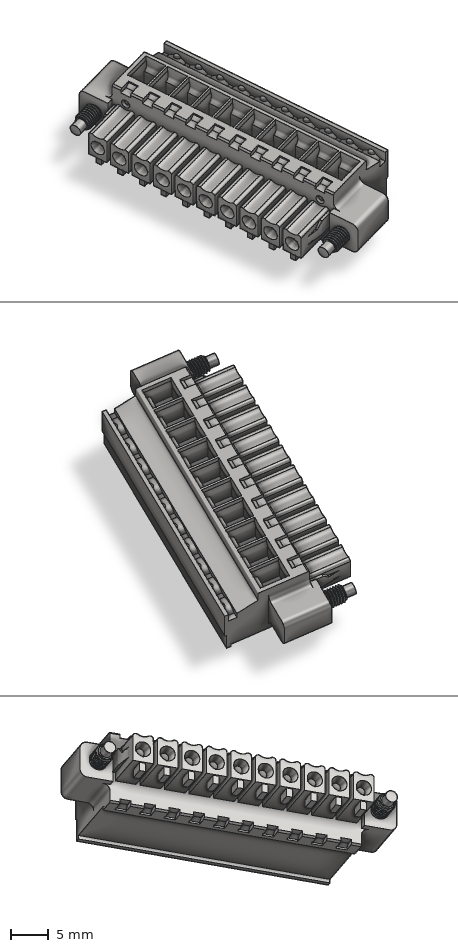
import cadquery as cq
import math

POLES = 10
PITCH = 3.5
POLE_X = [(i - (POLES - 1) / 2) * PITCH for i in range(POLES)]
AXIS_Z = 5.2

HEIGHT = 10.5
HOUSING_HALF = 17.95
BACK_Y = 12.7
BACK_WALL = 0.6
BACK_WALL_TOP = 8.35
GROOVE_FRONT_Y = 10.85
GROOVE_FLOOR_Z = 6.7
SLOPE_LOW_Z = 7.7
SLOPE_HIGH_Z = 8.75
STEP_Y = 7.7
EDGE_BREAK = 0.25
BACK_STEP_HIGH_Z = 3.4
BACK_STEP_LOW_Z = 3.15
LOWER_BACK_Y = 12.4
REAR_FOOT = 0.7
FRONT_FOOT = 2.57
FOOT_HEIGHT = 0.53

PAD_RADIUS = 2.05
BUMP_RADIUS = 0.55
BUMP_Z = 7.1

WINDOW_WIDTH = 3.2
WINDOW_FRONT_Y = 2.72
WINDOW_BACK_Y = 7.05
WINDOW_WALL = 0.85
BOWL_RADIUS = 1.0
FUNNEL_WIDTH = 2.4
FUNNEL_DEPTH = 1.65
FUNNEL_MOUTH_FRONT_Y = 2.75
FLOOR_WIDTH = 1.75
FUNNEL_FLOOR_FRONT_Y = 2.95
FUNNEL_FLOOR_BACK_Y = 5.6

SLOT_WIDTH = 1.55
SLOT_LENGTH = 1.83
SLOT_FLOOR_LENGTH = 1.2
SLOT_DEPTH = 0.7
SLOT_RISE = 0.45

BALL_Z = 8.15
BALL_HOLE_RADIUS = 0.65
BALL_RADIUS = 0.6
BALL_RECESS = 0.2

PLUG_LENGTH = 6.5
PLUG_WIDTH = 2.94
PLUG_BOTTOM_Z = 3.28
PLUG_TOP_Z = 7.37
SHOULDER_DROP = 0.29
FLUTE_WIDTH = 1.76
FLUTE_DEPTH = 0.28
SOCKET_RADIUS = 1.08
SOCKET_FLOOR_RADIUS = 0.6
SOCKET_DEPTH = 1.2
KEY_WIDTH = 0.85
KEY_BOTTOM_Z = 2.05
KEY_FRONT_Y = -6.27
KEY_BACK_Y = -4.05

WEDGE_THICKNESS = 0.41
WEDGE_LENGTH = 4.8
WEDGE_TAPER_Y = -2.2
WEDGE_DROP_Y = -3.1
WEDGE_TOP_Z = 7.03
WEDGE_LOW_Z = 6.04
WEDGE_BOTTOM_Z = 4.5

FLANGE_HALF = 22.6
FLANGE_FRONT_Y = -0.97
FLANGE_BACK_Y = 6.1
FLANGE_HALF_HEIGHT = 2.6
FLANGE_ROUND = 1.0
GUSSET = 1.0

SCREW_X = 20.1
SCREW_CORE_RADIUS = 1.05
THREAD_RADIUS = 1.27
THREAD_PITCH = 0.41
THREAD_RIDGE_WIDTH = 0.34
THREAD_OVERLAP = 0.05
THREAD_END_Y = -3.98
TIP_RADIUS = 0.84
TIP_END_Y = -5.47


def box(x0, x1, y0, y1, z0, z1):
    return cq.Workplane("XY").box(x1 - x0, y1 - y0, z1 - z0, centered=False).translate((x0, y0, z0))


def pole_box(x, width, y0, y1, z0, z1):
    return box(x - width / 2, x + width / 2, y0, y1, z0, z1)


def yz_prism(points, x, width):
    """Extrude a closed (Y, Z) outline over a width centred on x."""
    return cq.Workplane("YZ").polyline(points).close().extrude(width / 2, both=True).translate((x, 0, 0))


def rod(x, z, radius, y0, y1):
    """Cylinder along Y."""
    return cq.Workplane("XZ").center(x, z).circle(radius).extrude(y0 - y1).translate((0, y0, 0))


def make_housing():
    outline = [
        (0, 0),
        (FRONT_FOOT, 0),
        (FRONT_FOOT, FOOT_HEIGHT),
        (LOWER_BACK_Y - REAR_FOOT, FOOT_HEIGHT),
        (LOWER_BACK_Y - REAR_FOOT, 0),
        (LOWER_BACK_Y, 0),
        (LOWER_BACK_Y, BACK_STEP_LOW_Z),
        (BACK_Y, BACK_STEP_HIGH_Z),
        (BACK_Y, BACK_WALL_TOP),
        (BACK_Y - BACK_WALL, BACK_WALL_TOP),
        (BACK_Y - BACK_WALL, GROOVE_FLOOR_Z),
        (GROOVE_FRONT_Y, GROOVE_FLOOR_Z),
        (GROOVE_FRONT_Y, SLOPE_LOW_Z),
        (STEP_Y, SLOPE_HIGH_Z),
        (STEP_Y, HEIGHT),
        (0, HEIGHT),
    ]
    housing = yz_prism(outline, 0, 2 * HOUSING_HALF)
    housing = housing.faces(">Z").edges(">Y").fillet(EDGE_BREAK)
    return housing.faces("<Y").edges("|X").chamfer(EDGE_BREAK)


def tapered_pocket(x, top_z, depth, top_width, top_y, bottom_width, bottom_y):
    """Pocket narrowing downwards; top_y and bottom_y are its (front, back) limits."""
    top_mid = sum(top_y) / 2
    bottom_mid = sum(bottom_y) / 2
    return (
        cq.Workplane("XY", origin=(x, top_mid, top_z))
        .rect(top_width, top_y[1] - top_y[0])
        .workplane(offset=-depth)
        .center(0, bottom_mid - top_mid)
        .rect(bottom_width, bottom_y[1] - bottom_y[0])
        .loft(combine=True)
    )


def make_window(x):
    """Upright walls, then a bowl with a rounded back, then a funnel to the flat floor."""
    wall_z = HEIGHT - WINDOW_WALL
    bowl_z = wall_z - BOWL_RADIUS
    bowl_y = WINDOW_BACK_Y - BOWL_RADIUS
    window_y = (WINDOW_FRONT_Y, WINDOW_BACK_Y)
    upper = pole_box(x, WINDOW_WIDTH, WINDOW_FRONT_Y, WINDOW_BACK_Y, wall_z, HEIGHT)
    bowl_front = pole_box(x, WINDOW_WIDTH, WINDOW_FRONT_Y, bowl_y, bowl_z, wall_z)
    bowl_back = (
        cq.Workplane("YZ", origin=(x, bowl_y, wall_z))
        .circle(BOWL_RADIUS)
        .extrude(WINDOW_WIDTH / 2, both=True)
    )
    bowl = tapered_pocket(x, wall_z, BOWL_RADIUS, WINDOW_WIDTH, window_y, FUNNEL_WIDTH, window_y)
    bowl = bowl.intersect(bowl_front.union(bowl_back))
    mouth_y = (FUNNEL_MOUTH_FRONT_Y, bowl_y)
    floor_y = (FUNNEL_FLOOR_FRONT_Y, FUNNEL_FLOOR_BACK_Y)
    funnel = tapered_pocket(x, bowl_z, FUNNEL_DEPTH, FUNNEL_WIDTH, mouth_y, FLOOR_WIDTH, floor_y)
    return upper.union(bowl).union(funnel)


def make_top_slot(x):
    floor_z = HEIGHT - SLOT_DEPTH
    outline = [
        (0, floor_z),
        (SLOT_FLOOR_LENGTH, floor_z),
        (SLOT_LENGTH, floor_z + SLOT_RISE),
        (SLOT_LENGTH, HEIGHT),
        (0, HEIGHT),
    ]
    return yz_prism(outline, x, SLOT_WIDTH)


def make_rear_pad(x):
    pad = rod(x, AXIS_Z, PAD_RADIUS, GROOVE_FRONT_Y, BACK_Y - BACK_WALL)
    bump = cq.Workplane("XY").sphere(BUMP_RADIUS).translate((x, BACK_Y - BACK_WALL, BUMP_Z))
    return [pad, bump]


def make_right_ball_hole():
    return rod(POLE_X[-1], BALL_Z, BALL_HOLE_RADIUS, 0, BALL_RECESS + BALL_RADIUS)


def make_right_ball():
    ball_y = BALL_RECESS + BALL_RADIUS
    return cq.Workplane("XY").sphere(BALL_RADIUS).translate((POLE_X[-1], ball_y, BALL_Z))


def make_plug(x):
    half_width = PLUG_WIDTH / 2
    half_flute = FLUTE_WIDTH / 2
    shoulder_z = PLUG_TOP_Z - SHOULDER_DROP
    mid_x = half_flute + (half_width - half_flute) * math.sqrt(0.5)
    mid_z = shoulder_z + SHOULDER_DROP * math.sqrt(0.5)
    plug = (
        cq.Workplane("XZ")
        .moveTo(-half_width, PLUG_BOTTOM_Z)
        .lineTo(half_width, PLUG_BOTTOM_Z)
        .lineTo(half_width, shoulder_z)
        .threePointArc((mid_x, mid_z), (half_flute, PLUG_TOP_Z))
        .threePointArc((0, PLUG_TOP_Z - FLUTE_DEPTH), (-half_flute, PLUG_TOP_Z))
        .threePointArc((-mid_x, mid_z), (-half_width, shoulder_z))
        .close()
        .extrude(PLUG_LENGTH)
        .translate((x, 0, 0))
    )
    socket = cq.Workplane(
        cq.Solid.makeCone(
            SOCKET_RADIUS,
            SOCKET_FLOOR_RADIUS,
            SOCKET_DEPTH,
            pnt=cq.Vector(x, -PLUG_LENGTH, AXIS_Z),
            dir=cq.Vector(0, 1, 0),
        )
    )
    key = pole_box(x, KEY_WIDTH, KEY_FRONT_Y, KEY_BACK_Y, KEY_BOTTOM_Z, PLUG_BOTTOM_Z)
    return plug.cut(socket).union(key)


def make_right_wedge():
    plug_side = POLE_X[-1] + PLUG_WIDTH / 2
    plan = (
        cq.Workplane("XY")
        .moveTo(plug_side, 0)
        .lineTo(plug_side + WEDGE_THICKNESS, 0)
        .lineTo(plug_side + WEDGE_THICKNESS, WEDGE_TAPER_Y)
        .lineTo(plug_side, -WEDGE_LENGTH)
        .close()
        .extrude(HEIGHT)
    )
    profile = [
        (0, WEDGE_BOTTOM_Z),
        (0, WEDGE_TOP_Z),
        (WEDGE_TAPER_Y, WEDGE_TOP_Z),
        (WEDGE_DROP_Y, WEDGE_LOW_Z),
        (-WEDGE_LENGTH, WEDGE_LOW_Z),
        (-WEDGE_LENGTH, WEDGE_BOTTOM_Z),
    ]
    return plan.intersect(yz_prism(profile, plug_side, 2 * WEDGE_THICKNESS))


def make_right_flange():
    top_z = AXIS_Z + FLANGE_HALF_HEIGHT
    bottom_z = AXIS_Z - FLANGE_HALF_HEIGHT
    flange = box(HOUSING_HALF, FLANGE_HALF, FLANGE_FRONT_Y, FLANGE_BACK_Y, bottom_z, top_z)
    flange = flange.edges("|Y and >X").fillet(FLANGE_ROUND)
    gusset = box(
        HOUSING_HALF, HOUSING_HALF + GUSSET, 0, FLANGE_BACK_Y, bottom_z - GUSSET, top_z + GUSSET
    )
    for round_z in (bottom_z - GUSSET, top_z + GUSSET):
        gusset = gusset.cut(rod(HOUSING_HALF + GUSSET, round_z, GUSSET, 0, FLANGE_BACK_Y))
    return flange.union(gusset)


def make_right_screw():
    """Screw pointing along -Y with a helical thread ridge."""
    run_in = THREAD_PITCH
    ridge_half = THREAD_RIDGE_WIDTH / 2
    thread_length = FLANGE_FRONT_Y - THREAD_END_Y
    core_length = thread_length + run_in
    helix_length = core_length - 2 * ridge_half
    base_radius = SCREW_CORE_RADIUS - THREAD_OVERLAP
    core = cq.Workplane("XY").circle(SCREW_CORE_RADIUS).extrude(core_length)
    tip = cq.Workplane("XY").circle(TIP_RADIUS).extrude(FLANGE_FRONT_Y - TIP_END_Y + run_in)
    helix = cq.Workplane(cq.Wire.makeHelix(THREAD_PITCH, helix_length, base_radius))
    ridge = (
        cq.Workplane("XZ")
        .polyline([(base_radius, -ridge_half), (THREAD_RADIUS, 0), (base_radius, ridge_half)])
        .close()
        .sweep(helix, isFrenet=True)
        .translate((0, 0, ridge_half))
    )
    screw = core.union(ridge).union(tip)
    return screw.rotate((0, 0, 0), (1, 0, 0), 90).translate((SCREW_X, FLANGE_FRONT_Y + run_in, AXIS_Z))


def both_sides(right_piece):
    return [right_piece, right_piece.mirror("YZ")]


def both_edges(top_piece):
    return [top_piece, top_piece.mirror("XY").translate((0, 0, HEIGHT))]


def solids_of(pieces):
    return [piece.val() for piece in pieces]


cutters = []
additions = []

for pole_x in POLE_X:
    cutters.append(make_window(pole_x))
    cutters += both_edges(make_top_slot(pole_x))
    additions += make_rear_pad(pole_x)
    additions.append(make_plug(pole_x))

for make_right_piece in (make_right_wedge, make_right_flange, make_right_screw):
    additions += both_sides(make_right_piece())

cutters += both_sides(make_right_ball_hole())
additions += both_sides(make_right_ball())

housing_body = make_housing().val().cut(*solids_of(cutters))
result = cq.Workplane(housing_body.fuse(*solids_of(additions)))